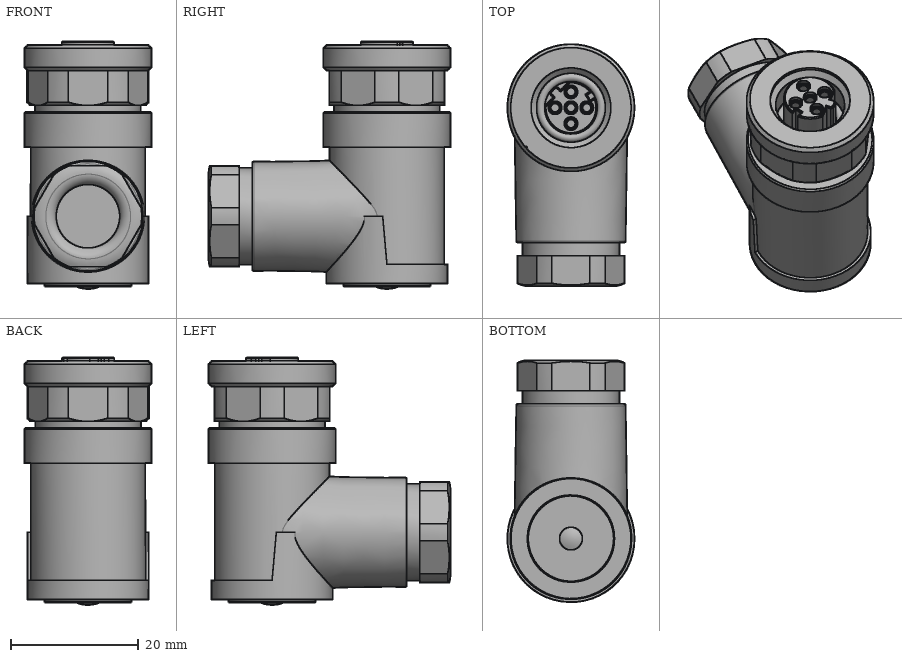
import cadquery as cq
import math


plate_bottom = 0.4
base_bottom = 0.8
rear_step_top = 3.9
branch_z = 11.45
ring_bottom = 22.3
ring_top = 27.85
hex_bottom = 28.82
hex_top = 34.27
collar_top = 38.3
insert_top = 38.9

dome_radius = 1.8
plate_radius = 6.85
base_radius = 9.53
body_radius = 9.02
ring_radius = 10.0
neck_radius = 8.32
hex_corner_radius = 9.55
hex_apothem = 9.05

base_chamfer = 0.1
plate_chamfer = 0.15
ring_chamfer = 0.27
collar_chamfer = 0.55

front_step_lean = 0.65

lip_radius = 6.25
lip_depth = 0.5
cavity_radius = 5.4
cavity_floor = 32.68

insert_radius = 4.12
insert_chamfer = 0.2
key_angle = 135
key_half_width = 0.8
key_flat_distance = 3.1
key_bevel_distance = 3.77
notch_angle = 30
notch_half_width = 0.5
notch_floor_distance = 3.2

contact_circle_radius = 2.5
contact_count = 4
counterbore_radius = 1.05
counterbore_depth = 0.65
bore_radius = 0.65
bore_countersink = 0.15
bore_depth = 2.35

branch_end = 21.15
nut_start = 23.2
nut_edge = 27.55
nut_end = 28.0
branch_root_radius = 8.9
branch_end_radius = 8.6
branch_fillet = 0.3
branch_neck_radius = 7.62
nut_corner_radius = 8.45
nut_apothem = 7.9
nut_face_radius = 6.65
opening_radius = 4.98
opening_floor = 24.9


def disc(radius, bottom, top):
    """Upright cylinder on the Z axis between two heights."""
    return cq.Workplane("XY").workplane(offset=bottom).circle(radius).extrude(top - bottom)


def on_branch(shape):
    """Move a shape built along +Z onto the branch axis, so that its +Z points along -Y."""
    return shape.rotate((0, 0, 0), (1, 0, 0), 90).translate((0, 0, branch_z))


def hex_prism(apothem, bottom, top):
    """Hexagonal prism on the Z axis, with two of its flats square to Y."""
    across_corners = 2 * apothem / math.cos(math.pi / 6)
    return cq.Workplane("XY").workplane(offset=bottom).polygon(6, across_corners).extrude(top - bottom)


def add_arc(outline, start, end, radius, centre):
    """Add to an outline the short arc from start to end around the given centre."""
    middle = ((start[0] + end[0]) / 2 - centre[0], (start[1] + end[1]) / 2 - centre[1])
    scale = radius / math.hypot(*middle)
    return outline.threePointArc((centre[0] + middle[0] * scale, centre[1] + middle[1] * scale), end)


def make_bottom():
    """Round plate under the base, with a shallow dome at its centre."""
    plate = disc(plate_radius, plate_bottom, base_bottom).faces("<Z").chamfer(plate_chamfer)
    sphere_radius = (dome_radius**2 + plate_bottom**2) / (2 * plate_bottom)
    sphere = cq.Workplane("XY").sphere(sphere_radius).translate((0, 0, sphere_radius))
    return plate.union(sphere.intersect(disc(dome_radius, 0, base_bottom)))


def make_base():
    """Wider foot of the body: low at the rear and up to the branch axis at the front."""
    foot = disc(base_radius, base_bottom, branch_z).faces("<Z").chamfer(base_chamfer)
    keep = (
        cq.Workplane("YZ")
        .moveTo(base_radius, 0)
        .lineTo(base_radius, rear_step_top)
        .lineTo(0, rear_step_top)
        .lineTo(-front_step_lean, branch_z)
        .lineTo(-base_radius, branch_z)
        .lineTo(-base_radius, 0)
        .close()
        .extrude(base_radius, both=True)
    )
    return foot.intersect(keep)


def make_coupling():
    """Ring, neck, hexagon and collar of the coupling nut above the body."""
    ring = disc(ring_radius, ring_bottom, ring_top).faces(">Z").chamfer(ring_chamfer)
    neck = disc(neck_radius, ring_top, hex_bottom)
    hex_chamfer = hex_corner_radius - hex_apothem
    hexagon = disc(hex_corner_radius, hex_bottom, hex_top).faces("<Z").chamfer(hex_chamfer)
    hexagon = hexagon.intersect(hex_prism(hex_apothem, hex_bottom, hex_top))
    collar = disc(ring_radius, hex_top, collar_top).faces("<Z or >Z").chamfer(collar_chamfer)
    return ring.union(neck).union(hexagon).union(collar)


def make_cavity():
    """Socket space: a short straight lip, a 45 degree cone and a straight wall."""
    cone_top = collar_top - lip_depth
    cone_bottom = cone_top - (lip_radius - cavity_radius)
    return (
        cq.Workplane("XZ")
        .moveTo(0, cavity_floor)
        .lineTo(cavity_radius, cavity_floor)
        .lineTo(cavity_radius, cone_bottom)
        .lineTo(lip_radius, cone_top)
        .lineTo(lip_radius, collar_top)
        .lineTo(0, collar_top)
        .close()
        .revolve(360, (0, 0), (0, 1))
    )


def make_seal():
    """Sealing ring, half sunk in the cavity floor, filling the gap around the insert."""
    centre_radius = (cavity_radius + insert_radius) / 2
    section_radius = (cavity_radius - insert_radius) / 2
    return (
        cq.Workplane("XZ")
        .center(centre_radius, cavity_floor)
        .circle(section_radius)
        .revolve(360, (-centre_radius, 0), (-centre_radius, 1))
    )


def insert_cut(outline, angle):
    """Straight cut in the insert rim: an outline drawn as if facing +X, then turned about Z."""
    cut = cq.Workplane("XY").workplane(offset=cavity_floor).polyline(outline).close()
    return cut.extrude(insert_top - cavity_floor).rotate((0, 0, 0), (0, 0, 1), angle)


def make_insert():
    """Contact carrier with a bevelled key between two flats, and one polarising notch."""
    insert = disc(insert_radius, cavity_floor, insert_top)
    bevel = insert_radius - key_bevel_distance
    for side in (-1, 1):
        key_side = [
            (key_flat_distance, side * insert_radius),
            (key_flat_distance, side * key_half_width),
            (key_bevel_distance, side * key_half_width),
            (insert_radius, side * (key_half_width - bevel)),
            (insert_radius, side * insert_radius),
        ]
        insert = insert.cut(insert_cut(key_side, key_angle))
    notch = [
        (notch_floor_distance, -notch_half_width),
        (insert_radius, -notch_half_width),
        (insert_radius, notch_half_width),
        (notch_floor_distance, notch_half_width),
    ]
    insert = insert.cut(insert_cut(notch, notch_angle))
    return insert.faces(">Z").chamfer(insert_chamfer)


def make_contact_bores():
    """Counterbored and countersunk bores for the five contacts."""
    shoulder = insert_top - counterbore_depth
    bore = disc(counterbore_radius, shoulder, insert_top)
    bore = bore.union(disc(bore_radius, insert_top - bore_depth, shoulder))
    shoulder_edge = bore.faces("<Z[-2]").edges(cq.selectors.RadiusNthSelector(0))
    bore = shoulder_edge.chamfer(bore_countersink)
    bores = bore
    for index in range(contact_count):
        angle = index * 2 * math.pi / contact_count
        place = (contact_circle_radius * math.cos(angle), contact_circle_radius * math.sin(angle), 0)
        bores = bores.union(bore.translate(place))
    return bores


def make_branch():
    """Tapered branch with a rounded end, and the neck that carries the cable nut."""
    taper = (
        cq.Workplane("XZ")
        .lineTo(branch_root_radius, 0)
        .lineTo(branch_end_radius, branch_end)
        .lineTo(0, branch_end)
        .close()
        .revolve(360, (0, 0), (0, 1))
    )
    taper = taper.faces(">Z").edges().fillet(branch_fillet)
    return on_branch(taper.union(disc(branch_neck_radius, branch_end, nut_start)))


def make_nut():
    """Hexagonal cable nut with a crowned end and a rounded, blind opening."""
    crown_width = nut_corner_radius - nut_face_radius
    crown_height = nut_end - nut_edge
    crown_radius = (crown_width**2 + crown_height**2) / (2 * crown_height)
    crown_centre = (nut_face_radius, nut_end - crown_radius)
    mouth_radius = nut_face_radius - opening_radius
    mouth_centre = (nut_face_radius, nut_end - mouth_radius)
    rim = (nut_corner_radius, nut_edge)
    face = (nut_face_radius, nut_end)
    throat = (opening_radius, nut_end - mouth_radius)

    outline = cq.Workplane("XZ").moveTo(0, nut_start).lineTo(nut_corner_radius, nut_start).lineTo(*rim)
    outline = add_arc(outline, rim, face, crown_radius, crown_centre)
    outline = add_arc(outline, face, throat, mouth_radius, mouth_centre)
    outline = outline.lineTo(opening_radius, opening_floor).lineTo(0, opening_floor).close()
    nut = outline.revolve(360, (0, 0), (0, 1))
    return on_branch(nut.intersect(hex_prism(nut_apothem, nut_start, nut_end)))


body = disc(body_radius, base_bottom, ring_bottom)
housing = make_bottom().union(make_base()).union(body).union(make_branch()).union(make_nut())
socket = make_coupling().cut(make_cavity()).union(make_seal())
socket = socket.union(make_insert()).cut(make_contact_bores())
result = housing.union(socket)